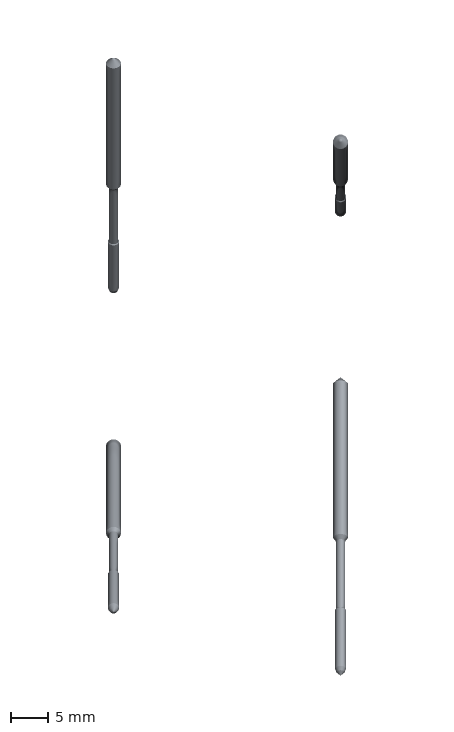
import cadquery as cq

total_length = 44.76

barrel_radius = 1.0
head_cone_height = barrel_radius
barrel_bottom = 20.18
barrel_taper_height = 0.57

neck_radius = 0.625

plunger_radius = 0.75
plunger_top = 9.93
plunger_chamfer = 0.1
point_radius = 0.55
point_height = point_radius
tip_height = 1.1

barrel_taper_top = barrel_bottom + barrel_taper_height
barrel_top = total_length - head_cone_height


def plunger_outline():
    """(radius, height) points of the plunger, from the point up to its chamfered rim."""
    return [
        (0, 0),
        (point_radius, point_height),
        (plunger_radius, tip_height),
        (plunger_radius, plunger_top - plunger_chamfer),
        (plunger_radius - plunger_chamfer, plunger_top),
    ]


def neck_outline():
    """(radius, height) points of the neck."""
    return [
        (neck_radius, plunger_top),
        (neck_radius, barrel_bottom),
    ]


def barrel_outline():
    """(radius, height) points of the barrel, from the top of its taper to the head apex."""
    return [
        (barrel_radius, barrel_taper_top),
        (barrel_radius, barrel_top),
        (0, total_length),
    ]


profile = plunger_outline() + neck_outline() + barrel_outline()
axis_start = (0, 0, 0)
axis_end = (0, 1, 0)
result = cq.Workplane("XZ").polyline(profile).close().revolve(360, axis_start, axis_end)